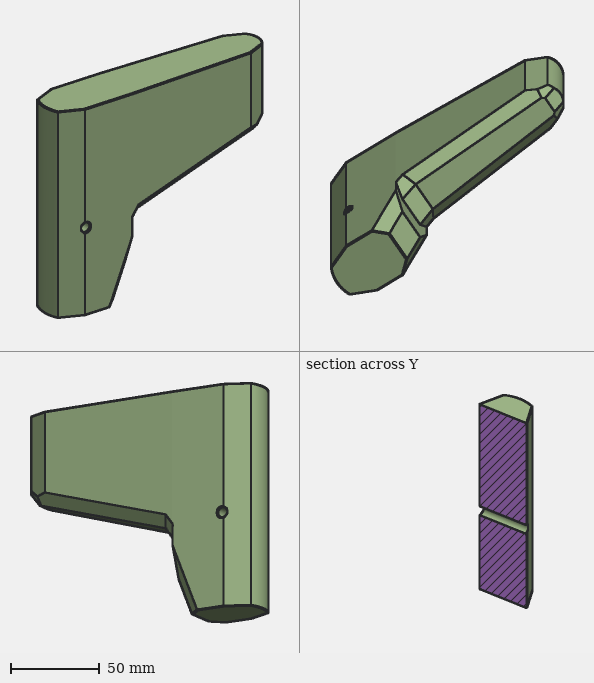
import cadquery as cq

length = 150.0
width = 32.2
height = 130.0

half_width = width / 2
nose_half_width = 9.9
nose_depth = 2.2
nose_chamfer_end = 16.6
stem_depth = 50.0
tail_shoulder_y = 135.0
tail_shoulder_half_width = 13.5
tail_half_width = 8.2
tail_depth = 3.1
tail_y = length - tail_depth

foot_depth = 41.1
foot_slope_top = 21.9

arm_root_z = 41.2
arm_knee = (58.6, 52.8)
arm_heel = (143.0, 78.0)
arm_tip_z = 86.7

bevel = 6.9
edge_clearance = 0.1
rim_chamfer = 0.5

facet_point = (10.5, 141.4, 81.7)
facet_normal = (1.0, 1.2, -0.95)

hole_diameter = 5.8
hole_y = 17.4
hole_z = 55.2
hole_chamfer = 0.6


def arc_radius(half_chord, sagitta):
    """Radius of an arc from half its chord and its rise."""
    return (half_chord**2 + sagitta**2) / (2 * sagitta)


def side_prism(points):
    """Prism across the full width from a closed (Y, Z) outline."""
    return cq.Workplane("YZ").polyline(points).close().extrude(half_width, both=True)


def make_stem():
    """Upright stem with a rounded nose and a bevelled slope behind its foot."""
    nose_radius = arc_radius(nose_half_width, nose_depth)
    plan = (
        cq.Workplane("XY")
        .moveTo(half_width, stem_depth)
        .lineTo(half_width, nose_chamfer_end)
        .lineTo(nose_half_width, nose_depth)
        .radiusArc((-nose_half_width, nose_depth), nose_radius)
        .lineTo(-half_width, nose_chamfer_end)
        .lineTo(-half_width, stem_depth)
        .close()
        .extrude(height)
    )
    slope = (stem_depth - foot_depth) / foot_slope_top
    wedge = side_prism([
        (0, 0),
        (foot_depth, 0),
        (foot_depth + slope * height, height),
        (0, height),
    ])
    wedge = wedge.faces(">Y").edges("not |X").chamfer(bevel)
    return wedge.intersect(plan)


def tail_facet():
    """Cutter that slices off the lower corner of the tail on the +X side."""
    facet_plane = cq.Plane(origin=facet_point, normal=facet_normal)
    return cq.Workplane(facet_plane).rect(width, width).extrude(width)


def make_arm():
    """Tapering arm with a bevelled underside and a rounded tail."""
    taper = (half_width - tail_shoulder_half_width) / (tail_shoulder_y - stem_depth)
    end_half_width = half_width - taper * (length - stem_depth)
    taper_block = (
        cq.Workplane("XY")
        .polyline([
            (-half_width, stem_depth),
            (-end_half_width, length),
            (end_half_width, length),
            (half_width, stem_depth),
        ])
        .close()
        .extrude(height)
    )
    profile = side_prism([
        (stem_depth, arm_root_z),
        arm_knee,
        arm_heel,
        (length, arm_tip_z),
        (length, height),
        (stem_depth, height),
    ])
    arm = taper_block.intersect(profile)
    bevel_zone = cq.selectors.BoxSelector(
        (-width, stem_depth + edge_clearance, 0),
        (width, arm_heel[0] - edge_clearance, arm_heel[1]),
    )
    arm = arm.edges(bevel_zone).edges("not |X").chamfer(bevel)

    tail_radius = arc_radius(tail_half_width, tail_depth)
    tail_plan = (
        cq.Workplane("XY")
        .moveTo(-half_width, stem_depth)
        .lineTo(-half_width, tail_shoulder_y)
        .lineTo(-tail_shoulder_half_width, tail_shoulder_y)
        .lineTo(-tail_half_width, tail_y)
        .radiusArc((tail_half_width, tail_y), tail_radius)
        .lineTo(tail_shoulder_half_width, tail_shoulder_y)
        .lineTo(half_width, tail_shoulder_y)
        .lineTo(half_width, stem_depth)
        .close()
        .extrude(height)
    )
    facet = tail_facet()
    return arm.intersect(tail_plan).cut(facet).cut(facet.mirror("YZ"))


def cross_hole():
    """Cutter for the hole through the width, flared at both ends."""
    hole_radius = hole_diameter / 2
    flare_radius = hole_radius + hole_chamfer
    return (
        cq.Workplane("XY")
        .polyline([
            (0, -half_width),
            (flare_radius, -half_width),
            (hole_radius, -half_width + hole_chamfer),
            (hole_radius, half_width - hole_chamfer),
            (flare_radius, half_width),
            (0, half_width),
        ])
        .close()
        .revolve(360, (0, 0, 0), (0, 1, 0))
        .rotate((0, 0, 0), (0, 0, 1), 90)
        .translate((0, hole_y, hole_z))
    )


body = make_stem().union(make_arm())
body = body.faces(">Z").chamfer(rim_chamfer)
body = body.faces("<Z").chamfer(rim_chamfer)
result = body.cut(cross_hole())